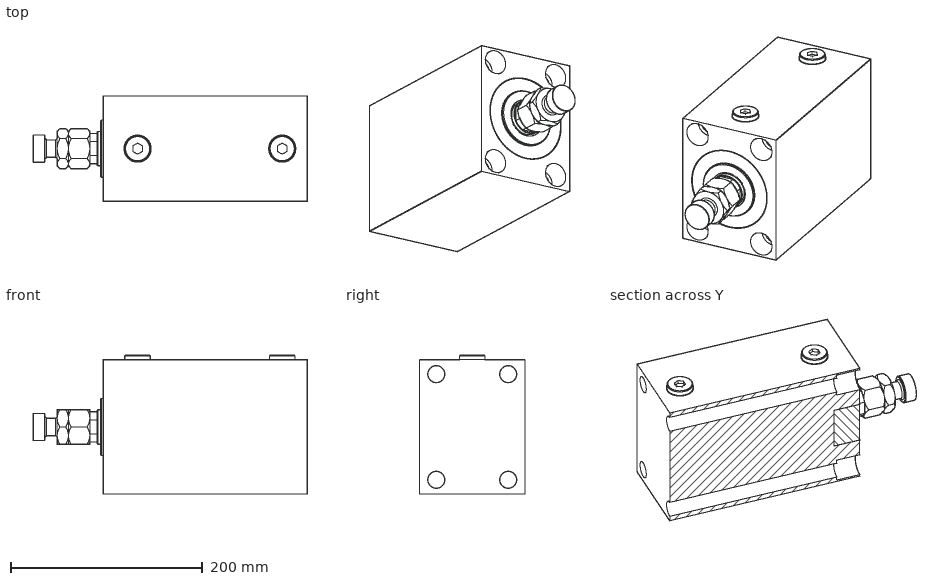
import cadquery as cq
import math


block_length = 213.0
block_width = 110.0
block_height = 140.0
block_edge_chamfer = 0.43

bolt_spacing_y = 75.0
bolt_spacing_z = 110.0
bolt_hole_diameter = 17.5
bolt_head_diameter = 25.2
bolt_head_depth = 25.7

gland_diameter = 87.8
gland_depth = 28.5
gland_seat_chamfer = 0.5
boss_diameter = 59.8
boss_height = 2.5
boss_chamfer = 1.0
wiper_diameter = 39.5
wiper_depth = 1.5

rod_diameter = 36.0
rod_front_chamfer = 0.5
rod_flat_size = 31.7
rod_flat_length = 7.7
rod_shoulder_length = 3.5

hexagon_size = 36.3
body_length = 22.3
nut_length = 11.7
neck_diameter = 18.3
neck_length = 12.5
neck_flare = 1.7
head_diameter = 28.5
head_chamfer = 1.0
head_face_chamfer = 0.43

plug_positions_x = (36.0, 186.8)
plug_diameter = 27.0
plug_projection = 5.0
plug_chamfer = 1.0
socket_size = 10.0
socket_depth = 3.5
spotface_diameter = 28.3
spotface_depth = 1.0

total_length = 286.0
head_tip_x = block_length - total_length
flat_end_x = -boss_height - rod_shoulder_length
rod_tip_x = flat_end_x - rod_flat_length
nut_rear_x = rod_tip_x - body_length
nut_front_x = nut_rear_x - nut_length
head_rear_x = nut_front_x - neck_length
block_top_z = block_height / 2
spotface_z = block_top_z - spotface_depth


def cylinder_x(diameter, start_x, end_x):
    """Cylinder on the X axis between two places."""
    return cq.Workplane("YZ", origin=(start_x, 0, 0)).circle(diameter / 2).extrude(end_x - start_x)


def make_housing():
    """Block with four counterbored holes, a gland seat and two spotfaces for the plugs."""
    block = (
        cq.Workplane("XY")
        .box(block_length, block_width, block_height)
        .edges("|X")
        .chamfer(block_edge_chamfer)
        .translate((block_length / 2, 0, 0))
    )
    block = (
        block.faces("<X")
        .workplane(origin=(0, 0, 0))
        .rect(bolt_spacing_y, bolt_spacing_z, forConstruction=True)
        .vertices()
        .cboreHole(bolt_hole_diameter, bolt_head_diameter, bolt_head_depth)
    )
    block = block.cut(cylinder_x(gland_diameter, 0, gland_depth))
    gland_edge = cq.selectors.RadiusNthSelector(-1)
    block = block.faces("<X").edges(gland_edge).chamfer(gland_seat_chamfer)
    for plug_x in plug_positions_x:
        spotface = (
            cq.Workplane("XY", origin=(plug_x, 0, spotface_z))
            .circle(spotface_diameter / 2)
            .extrude(spotface_depth)
        )
        block = block.cut(spotface)
    return block


def make_gland():
    """Ring that guides the rod, with a chamfered boss and a recess for the wiper."""
    boss = cylinder_x(boss_diameter, -boss_height, 0).faces("<X").edges().chamfer(boss_chamfer)
    gland = cylinder_x(gland_diameter, 0, gland_depth).union(boss)
    gland = gland.cut(cylinder_x(rod_diameter, -boss_height, gland_depth))
    return gland.cut(cylinder_x(wiper_diameter, -boss_height, wiper_depth - boss_height))


def make_rod():
    """Round rod through the gland, stepped down at its front end and squared by four wrench flats."""
    rod = cylinder_x(rod_diameter, flat_end_x, gland_depth).faces("<X").edges().chamfer(rod_front_chamfer)
    neck_round = cylinder_x(rod_diameter - 2 * rod_front_chamfer, rod_tip_x, flat_end_x)
    neck_square = (
        cq.Workplane("YZ", origin=(rod_tip_x, 0, 0))
        .rect(rod_flat_size, rod_flat_size)
        .extrude(rod_flat_length)
    )
    return rod.union(neck_round.intersect(neck_square))


def bevelled_hexagon(start_x, length):
    """Hexagon bar on the X axis, flat toward +Z, with both ends turned to a 45 degree cone."""
    across_corners = hexagon_size / math.cos(math.pi / 6)
    corner_radius = across_corners / 2
    face_radius = hexagon_size / 2
    bevel = corner_radius - face_radius
    hexagon = cq.Workplane("YZ").polygon(6, across_corners).extrude(length)
    turned = (
        cq.Workplane("XY")
        .lineTo(0, face_radius)
        .lineTo(bevel, corner_radius)
        .lineTo(length - bevel, corner_radius)
        .lineTo(length, face_radius)
        .lineTo(length, 0)
        .close()
        .revolve(360, (0, 0, 0), (1, 0, 0))
    )
    return hexagon.intersect(turned).translate((start_x, 0, 0))


def make_coupling():
    """Floating coupling: two bevelled hexagons and a headed stud."""
    head_radius = head_diameter / 2
    neck_radius = neck_diameter / 2
    flare_radius = neck_radius + neck_flare
    stud = (
        cq.Workplane("XY")
        .moveTo(head_tip_x, 0)
        .lineTo(head_tip_x, head_radius - head_face_chamfer)
        .lineTo(head_tip_x + head_face_chamfer, head_radius)
        .lineTo(head_rear_x - head_chamfer, head_radius)
        .lineTo(head_rear_x, head_radius - head_chamfer)
        .lineTo(head_rear_x, flare_radius)
        .lineTo(head_rear_x + neck_flare, neck_radius)
        .lineTo(nut_front_x - neck_flare, neck_radius)
        .lineTo(nut_front_x, flare_radius)
        .lineTo(nut_front_x, 0)
        .close()
        .revolve(360, (0, 0, 0), (1, 0, 0))
    )
    nut = bevelled_hexagon(nut_front_x, nut_length)
    body = bevelled_hexagon(nut_rear_x, body_length)
    return stud.union(nut).union(body)


def make_plug(plug_x):
    """Round plug seated in its spotface, with a blind hexagon socket in the top."""
    socket_across_corners = socket_size / math.cos(math.pi / 6)
    plug = (
        cq.Workplane("XY")
        .circle(plug_diameter / 2)
        .extrude(spotface_depth + plug_projection)
        .faces(">Z")
        .edges()
        .chamfer(plug_chamfer)
    )
    socket = (
        cq.Workplane("XY", origin=(0, 0, spotface_depth + plug_projection))
        .polygon(6, socket_across_corners)
        .extrude(-socket_depth)
        .rotate((0, 0, 0), (0, 0, 1), 90)
    )
    return plug.cut(socket).translate((plug_x, 0, spotface_z))


housing = make_housing()
gland = make_gland()
rod = make_rod()
coupling = make_coupling()
plugs = [make_plug(plug_x).val() for plug_x in plug_positions_x]

result = cq.Compound.makeCompound([housing.val(), gland.val(), rod.val(), coupling.val(), *plugs])